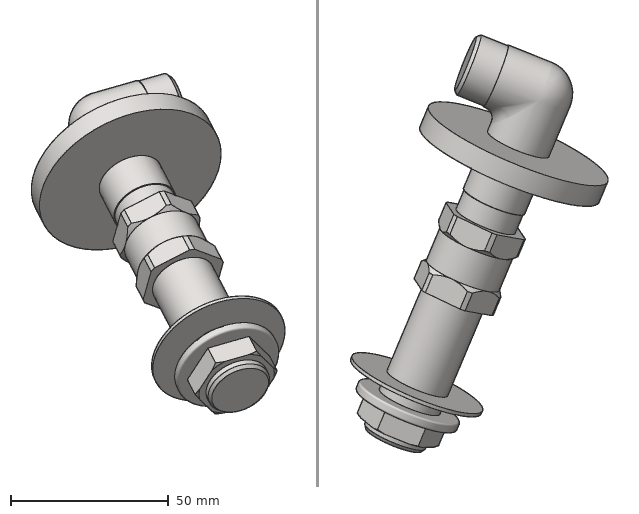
import cadquery as cq
import math


elbow_radius = 10.6
elbow_fillet = 4.1
bend_clearance = 0.1
elbow_run_end = 37.8
outlet_collar_end = 15.0
outlet_end = 25.4
outlet_radius = 10.3
outlet_chamfer = 1.2
neck_radius = 10.2

disc_diameter = 61.8
disc_start = 17.7
disc_thickness = 7.3

coupling_start = 44.9
coupling_length = 26.7
hex_length = 7.7
sleeve_radius = 12.6
hex_corner_radius = 14.0
hex_turn = 17.5

pipe_radius = 10.5
overall_length = 132.3
pipe_end = overall_length - elbow_radius
pipe_chamfer_length = 1.2
pipe_chamfer_depth = 0.8

washer_radius = 22.5
washer_start = 101.9
washer_thickness = 1.2

nut_start = 108.4
nut_flange_radius = 17.3
nut_flange_thickness = 3.0
nut_flange_rounding = 0.7
nut_hex_length = 7.3
nut_across_flats = 24.2
nut_chamfer_length = 0.5
nut_chamfer_depth = 1.2

coupling_end = coupling_start + coupling_length


def rod(radius, start, end):
    """Round bar on the X axis between two X positions."""
    return cq.Workplane("YZ", origin=(start, 0, 0)).circle(radius).extrude(end - start)


def hex_bar(across_flats, start, end, turn=0):
    """Hexagonal bar on the X axis; at zero turn (degrees) a corner points along +Y."""
    corner_diameter = across_flats / math.cos(math.pi / 6)
    bar = cq.Workplane("YZ", origin=(start, 0, 0)).polygon(6, corner_diameter).extrude(end - start)
    return bar.rotate((0, 0, 0), (1, 0, 0), turn)


def chamfered_rod(radius, start, end, length, depth):
    """Round bar on the X axis, chamfered at its +X end."""
    outline = [(start, 0), (start, radius), (end - length, radius), (end, radius - depth), (end, 0)]
    return cq.Workplane("XY").polyline(outline).close().revolve(360, (0, 0, 0), (1, 0, 0))


def make_elbow():
    run = rod(elbow_radius, 0, elbow_run_end)
    branch = cq.Workplane("XZ").circle(elbow_radius).extrude(-outlet_collar_end)
    ball = cq.Workplane("XY").sphere(elbow_radius)
    inside_corner = cq.selectors.BoxSelector(
        (bend_clearance, bend_clearance, -elbow_radius), (elbow_radius, elbow_radius, elbow_radius)
    )
    bend = run.union(branch).edges(inside_corner).fillet(elbow_fillet).union(ball)
    tip = (
        cq.Workplane("XZ", origin=(0, outlet_collar_end, 0))
        .circle(outlet_radius)
        .extrude(outlet_collar_end - outlet_end)
        .faces(">Y")
        .chamfer(outlet_chamfer)
    )
    neck = rod(neck_radius, elbow_run_end, coupling_start)
    return bend.union(tip).union(neck)


def make_cover_disc():
    disc_end = disc_start + disc_thickness
    return rod(disc_diameter / 2, disc_start, disc_end).cut(rod(elbow_radius, disc_start, disc_end))


def make_coupling():
    chamfer = hex_corner_radius - sleeve_radius
    hexes = hex_bar(2 * sleeve_radius, coupling_start, coupling_end, hex_turn)
    first_blank = chamfered_rod(
        hex_corner_radius, coupling_start, coupling_start + hex_length, chamfer, chamfer
    )
    middle = (coupling_start + coupling_end) / 2
    second_blank = first_blank.mirror("YZ", (middle, 0, 0))
    sleeve = rod(sleeve_radius, coupling_start, coupling_end)
    return sleeve.union(hexes.intersect(first_blank)).union(hexes.intersect(second_blank))


def make_tail_pipe():
    return chamfered_rod(
        pipe_radius, coupling_end, pipe_end, pipe_chamfer_length, pipe_chamfer_depth
    )


def make_washer():
    washer_end = washer_start + washer_thickness
    return rod(washer_radius, washer_start, washer_end).cut(rod(pipe_radius, washer_start, washer_end))


def make_flanged_nut():
    flange_end = nut_start + nut_flange_thickness
    nut_end = flange_end + nut_hex_length
    flange = rod(nut_flange_radius, nut_start, flange_end).edges().fillet(nut_flange_rounding)
    corner_radius = nut_across_flats / (2 * math.cos(math.pi / 6))
    blank = chamfered_rod(corner_radius, flange_end, nut_end, nut_chamfer_length, nut_chamfer_depth)
    hexagon = hex_bar(nut_across_flats, flange_end, nut_end).intersect(blank)
    return flange.union(hexagon).cut(rod(pipe_radius, nut_start, nut_end))


elbow = make_elbow()
cover_disc = make_cover_disc()
coupling = make_coupling()
tail_pipe = make_tail_pipe()
washer = make_washer()
flanged_nut = make_flanged_nut()

result = cq.Compound.makeCompound([
    elbow.val(),
    cover_disc.val(),
    coupling.val(),
    tail_pipe.val(),
    washer.val(),
    flanged_nut.val(),
])